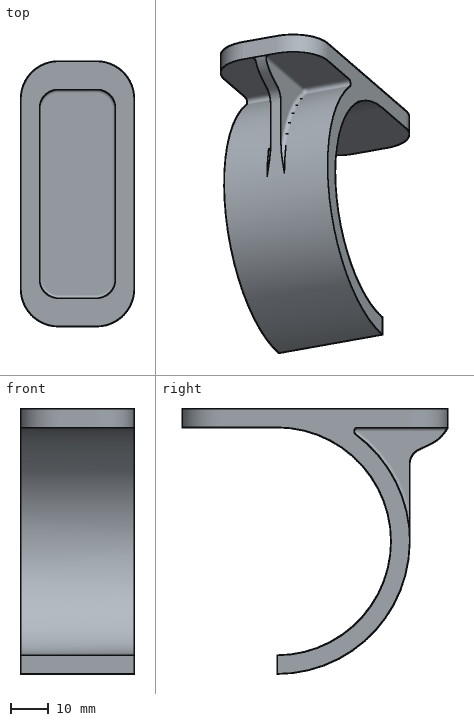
import cadquery as cq
import math

width = 30.0
plate_length = 70.0
plate_thickness = 5.0
plate_corner_radius = 10.0

recess_width = 20.0
recess_length = 55.0
recess_corner_radius = 5.0
recess_depth = 0.5
recess_floor_radius = 1.0

hook_outer_radius = 35.0
hook_inner_radius = hook_outer_radius - plate_thickness
hook_center_y = -10.0
hook_center_z = -hook_outer_radius
hook_back_y = hook_center_y + hook_outer_radius

rib_thickness = 3.0
rib_back_y = hook_back_y
rib_concave_start_z = -14.6
rib_concave_radius = 4.1
rib_slope = math.radians(25.5)
rib_slope_end_y = 30.5

blend_radius = 1.0

tolerance = 1e-3


def make_plate():
    plate = (
        cq.Workplane("XY")
        .box(width, plate_length, plate_thickness, centered=(True, True, False))
        .translate((0, 0, -plate_thickness))
    )
    return plate.edges("|Z").fillet(plate_corner_radius)


def point_under_plate(radius):
    """Point behind the hook axis where a circle about that axis meets the underside of the plate."""
    rise = -plate_thickness - hook_center_z
    return (hook_center_y + math.sqrt(radius**2 - rise**2), -plate_thickness)


def make_hook():
    return (
        cq.Workplane("YZ", origin=(-width / 2, 0, 0))
        .moveTo(hook_center_y, hook_center_z + hook_inner_radius)
        .threePointArc(
            (hook_center_y + hook_inner_radius, hook_center_z),
            (hook_center_y, hook_center_z - hook_inner_radius),
        )
        .lineTo(hook_center_y, hook_center_z - hook_outer_radius)
        .threePointArc((hook_back_y, hook_center_z), point_under_plate(hook_outer_radius))
        .close()
        .extrude(width)
    )


def make_web():
    """Full web between hook and plate, from which the rib is trimmed."""
    root_radius = (hook_inner_radius + hook_outer_radius) / 2
    root_reach = root_radius * math.sqrt(0.5)
    return (
        cq.Workplane("YZ", origin=(-rib_thickness / 2, 0, 0))
        .moveTo(hook_center_y + root_radius, hook_center_z)
        .lineTo(plate_length / 2, hook_center_z)
        .lineTo(plate_length / 2, -plate_thickness)
        .lineTo(*point_under_plate(root_radius))
        .threePointArc(
            (hook_center_y + root_reach, hook_center_z + root_reach),
            (hook_center_y + root_radius, hook_center_z),
        )
        .close()
        .extrude(rib_thickness)
    )


def is_blend_edge(edge):
    """True for the inside corners where web, hook and plate meet."""
    bounds = edge.BoundingBox()
    corner_y, corner_z = point_under_plate(hook_outer_radius)
    if abs(bounds.ymin - corner_y) > tolerance:
        return False
    at_corner = bounds.ymax - corner_y < tolerance and abs(bounds.zmin - corner_z) < tolerance
    on_web_side = (
        bounds.xmax - bounds.xmin < tolerance
        and abs(abs(edge.Center().x) - rib_thickness / 2) < tolerance
    )
    return at_corner or on_web_side


def make_rib_trim():
    """Material behind the back edge of the rib."""
    turn = math.pi / 2 - rib_slope

    def concave_point(angle):
        return (
            rib_back_y + rib_concave_radius * (1 - math.cos(angle)),
            rib_concave_start_z + rib_concave_radius * math.sin(angle),
        )

    slope_start = concave_point(turn)
    slope_end_z = slope_start[1] + (rib_slope_end_y - slope_start[0]) * math.tan(rib_slope)
    return (
        cq.Workplane("YZ", origin=(-width / 2, 0, 0))
        .moveTo(rib_back_y, hook_center_z)
        .lineTo(rib_back_y, rib_concave_start_z)
        .threePointArc(concave_point(turn / 2), slope_start)
        .lineTo(rib_slope_end_y, slope_end_z)
        .tangentArcPoint((plate_length / 2, -plate_thickness), relative=False)
        .lineTo(plate_length / 2, hook_center_z)
        .close()
        .extrude(width)
    )


def make_recess():
    """Cutter with a rounded floor edge, sunk into the plate by less than that rounding."""
    overhang = recess_floor_radius - math.sqrt(
        recess_floor_radius**2 - (recess_floor_radius - recess_depth) ** 2
    )
    cutter = (
        cq.Workplane("XY")
        .box(
            recess_width + 2 * overhang,
            recess_length + 2 * overhang,
            2 * recess_floor_radius,
            centered=(True, True, False),
        )
        .translate((0, 0, -recess_depth))
        .edges("|Z")
        .fillet(recess_corner_radius + overhang)
    )
    return cutter.faces("<Z").edges().fillet(recess_floor_radius)


body = make_plate().union(make_hook()).union(make_web())
blend_edges = [edge for edge in body.edges().vals() if is_blend_edge(edge)]
body = body.newObject(blend_edges).fillet(blend_radius)
result = body.cut(make_rib_trim()).cut(make_recess())